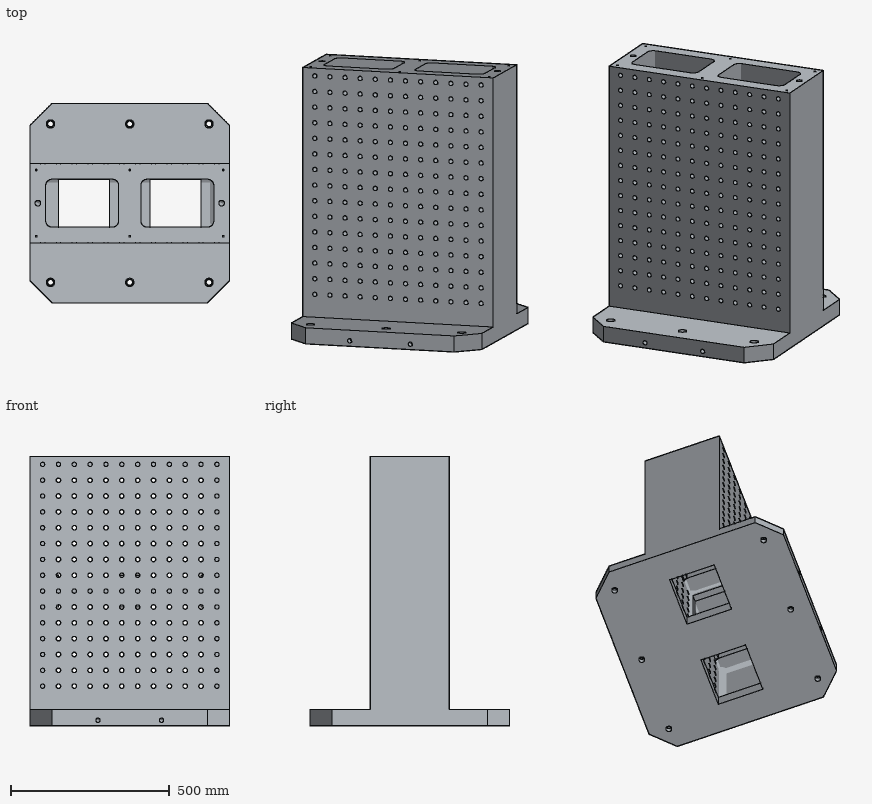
import cadquery as cq
import math

base_side = 630.0
total_height = 850.0
base_height = 52.0
corner_chamfer = 70.0
tower_depth = 250.0

side_wall = 40.0
cap_thickness = 59.5
shelf_thickness = 60.0
web_half = 10.0
web_fillet = 10.0
cap_fillet = 10.0
chamber_fillet = 20.0

cap_opening_depth = 151.0
cap_opening_inner_x = 35.0
cap_opening_outer_x = 265.0
cap_opening_corner_radius = 20.0
shelf_opening_depth = 150.0
shelf_opening_inner_x = 65.0
shelf_opening_outer_x = 224.0

grid_columns = 12
grid_rows = 15
grid_hole_diameter = 14.0

mount_spacing = 250.0
mount_hole_diameter = 18.0
mount_bore_diameter = 26.0
mount_bore_depth = 25.5

edge_hole_x = 100.0
edge_hole_z = 18.0
edge_hole_diameter = 14.0
edge_hole_depth = 30.0

lift_hole_x = 290.0
lift_hole_diameter = 18.0
lift_hole_depth = 40.0
cover_hole_x = 295.0
cover_hole_y = 104.5
cover_hole_diameter = 5.0
cover_hole_depth = 13.0
drill_point_angle = 118.0

grid_pitch = mount_spacing / 5
grid_top_margin = grid_pitch / 2
chamber_outer_x = base_side / 2 - side_wall
chamber_depth = tower_depth - 2 * side_wall
shelf_z = total_height / 2
cap_bottom = total_height - cap_thickness
chamber_bottom = shelf_z + shelf_thickness / 2
chamber_height = cap_bottom - chamber_bottom


def block(x_min, x_max, depth, z_min, height):
    """Box between two X places, centred on Y = 0."""
    box = cq.Workplane("XY").box(x_max - x_min, depth, height, centered=(False, True, False))
    return box.translate((x_min, 0, z_min))


def drilled_hole(diameter, depth):
    """Cutter for a blind hole with a conical drill point, running down from the origin."""
    radius = diameter / 2
    tip_height = radius / math.tan(math.radians(drill_point_angle / 2))
    profile = [(0, 0), (radius, 0), (radius, -depth), (0, -depth - tip_height)]
    return cq.Workplane("XZ").polyline(profile).close().revolve(360, (0, 0), (0, 1))


def solid_body():
    """Square base plate with cut corners, carrying the upright tower."""
    base = cq.Workplane("XY").box(base_side, base_side, base_height, centered=(True, True, False))
    base = base.edges("|Z").chamfer(corner_chamfer)
    return base.union(block(-base_side / 2, base_side / 2, tower_depth, 0, total_height))


def chamber():
    """Rounded hollow between the shelf and the cap, on the +X side of the central web."""
    hollow = block(web_half, chamber_outer_x, chamber_depth, chamber_bottom, chamber_height)
    hollow = hollow.edges("(|Z and >X) or (<Z and (not <X))").fillet(chamber_fillet)
    hollow = hollow.edges("<X and |Z").fillet(web_fillet)
    hollow = hollow.faces(">Z").edges().fillet(cap_fillet)
    flat_ledges = block(
        shelf_opening_inner_x, shelf_opening_outer_x, chamber_depth, chamber_bottom, chamber_fillet
    )
    return hollow.union(flat_ledges)


def bay():
    """Everything hollow on the +X side: two chambers and the openings that join them."""
    cap_opening = block(
        cap_opening_inner_x, cap_opening_outer_x, cap_opening_depth,
        cap_bottom - cap_fillet, cap_thickness + cap_fillet,
    )
    cap_opening = cap_opening.edges("|Z").fillet(cap_opening_corner_radius)
    shelf_opening = block(
        shelf_opening_inner_x, shelf_opening_outer_x, shelf_opening_depth, 0, chamber_bottom + chamber_fillet
    )
    upper = chamber()
    lower = upper.mirror("XY", (0, 0, shelf_z))
    return upper.union(lower).union(cap_opening).union(shelf_opening)


def web_window():
    """Window through the central web, joining the chambers on both sides."""
    half_width = web_half + web_fillet
    window_depth = chamber_depth - 2 * web_fillet
    window_bottom = chamber_bottom + chamber_fillet
    window_height = cap_bottom - cap_fillet - window_bottom
    return block(-half_width, half_width, window_depth, window_bottom, window_height)


def grid_holes():
    """Fixture holes drilled one wall thickness deep into the front and back faces."""
    points = []
    for column in range(grid_columns):
        for row in range(grid_rows):
            x = (column - (grid_columns - 1) / 2) * grid_pitch
            z = total_height - grid_top_margin - row * grid_pitch
            points.append((x, z))
    front = cq.Workplane("XZ", origin=(0, -tower_depth / 2, 0)).pushPoints(points)
    front = front.circle(grid_hole_diameter / 2).extrude(-side_wall)
    return front, front.mirror("XZ")


def mounting_holes():
    """Counterbored holes in two rows of three, beside the tower."""
    points = [(x * mount_spacing, y * mount_spacing) for x in (-1, 0, 1) for y in (-1, 1)]
    through = cq.Workplane("XY").pushPoints(points).circle(mount_hole_diameter / 2).extrude(base_height)
    bore = cq.Workplane("XY", origin=(0, 0, base_height)).pushPoints(points)
    return through.union(bore.circle(mount_bore_diameter / 2).extrude(-mount_bore_depth))


def edge_holes():
    """Pairs of drilled holes in the front and back edges of the base."""
    hole = drilled_hole(edge_hole_diameter, edge_hole_depth).rotate((0, 0, 0), (1, 0, 0), 90)
    hole = hole.translate((edge_hole_x, -base_side / 2, edge_hole_z))
    pair = hole.union(hole.mirror("YZ"))
    return pair.union(pair.mirror("XZ"))


def top_holes():
    """Two lifting holes and six small cover holes in the top face."""
    lift = drilled_hole(lift_hole_diameter, lift_hole_depth).translate((lift_hole_x, 0, total_height))
    points = [(x * cover_hole_x, y * cover_hole_y) for x in (-1, 0, 1) for y in (-1, 1)]
    cover = cq.Workplane("XY", origin=(0, 0, total_height)).pushPoints(points)
    cover = cover.circle(cover_hole_diameter / 2).extrude(-cover_hole_depth)
    return cover.union(lift).union(lift.mirror("YZ"))


result = solid_body()
right_bay = bay()
result = result.cut(right_bay).cut(right_bay.mirror("YZ"))
window = web_window()
result = result.cut(window).cut(window.mirror("XY", (0, 0, shelf_z)))
for holes in grid_holes():
    result = result.cut(holes)
result = result.cut(mounting_holes()).cut(edge_holes()).cut(top_holes())